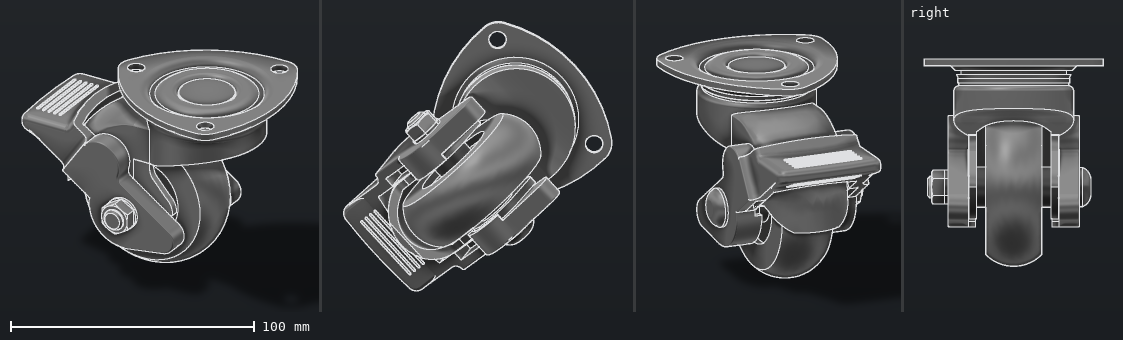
import cadquery as cq
import math


total_height = 85.0
wheel_radius = 32.5
axle_x = -24.0
axle_z = wheel_radius

plate_thickness = 2.8
plate_mid_side = 33.0
plate_corner_reach = 32.55
plate_corner_radius = 8.57
plate_hole_reach = 33.9
plate_hole_diameter = 7.1
bowl_bottom_z = 80.2

head_radius = 24.6
head_shoulder_z = 72.0
head_top_z = 78.7
head_end_z = 64.7

hood_radius = 39.3
hood_half_width = 18.5
leg_outer_y = 18.3
leg_inner_y = 15.2
leg_top_z = 53.6
leg_boss_radius = 13.0
tail_z = 30.0

wheel_half_width = 11.5
wheel_face_radius = 27.7
wheel_recess_radius = 17.1
wheel_recess_depth = 3.0
wheel_hub_radius = 8.3

pedal_tilt = 34.8
pedal_outer_y = 27.0
pedal_inner_y = 18.6
pedal_half_width = 23.1
pedal_arm_height = 18.9
pedal_edge_radius = 0.7
cam_radius = 16.4
cam_lip_y = 15.6
cam_lip_inner_radius = 14.0
pad_top_z = 62.1
pad_tip_height = 4.75
pad_edge_radius = 2.8
pad_lower_radius = 1.6
crest_foot_radius = 2.0
pad_tip_x = -77.18
pad_slope = 23.6
rib_count = 5
rib_pitch = 2.67
rib_first_x = -72.1
rib_length = 30.2
rib_width = 1.0
rib_height = 0.35

bolt_radius = 4.5
bolt_head_radius = 8.1
bolt_head_height = 4.65
bolt_end_y = -35.35
nut_flange_radius = 7.0
nut_flange_thickness = 1.3
nut_across_flats = 12.15
nut_height = 6.6


def axle_cylinder(radius, y_from, y_to):
    """Cylinder on the wheel axle between two Y positions."""
    base = cq.Workplane("XZ", origin=(axle_x, y_from, axle_z))
    return base.circle(radius).extrude(y_from - y_to)


def axle_revolve(profile):
    """Turn a (radius, Y) profile, drawn on the plane through the axle, about the axle."""
    return profile.revolve(360, (0, 0, 0), (0, 1, 0))


def axle_plane():
    return cq.Workplane("XY", origin=(axle_x, 0, axle_z))


def side_slab(profile, half_width):
    """Extrude an XZ profile to both sides of Y = 0."""
    return profile.extrude(half_width, both=True)


def make_plate():
    corner_x = plate_corner_reach * math.cos(math.radians(60))
    corner_y = plate_corner_reach * math.sin(math.radians(60))
    reach = plate_mid_side - plate_corner_radius
    side_centre = (corner_x**2 + corner_y**2 - reach**2) / (2 * (reach - corner_x))
    half_sweep = math.degrees(math.atan2(corner_y, corner_x + side_centre))

    def corner_point(corner_angle, edge_angle):
        a = math.radians(corner_angle)
        b = math.radians(edge_angle)
        return (plate_corner_reach * math.cos(a) + plate_corner_radius * math.cos(b),
                plate_corner_reach * math.sin(a) + plate_corner_radius * math.sin(b))

    def side_middle(angle):
        a = math.radians(angle)
        return (plate_mid_side * math.cos(a), plate_mid_side * math.sin(a))

    outline = cq.Workplane("XY", origin=(0, 0, total_height - plate_thickness))
    outline = outline.moveTo(*corner_point(-60, -half_sweep))
    for side_angle in (0, 120, 240):
        corner = side_angle + 60
        outline = outline.threePointArc(side_middle(side_angle),
                                        corner_point(corner, side_angle + half_sweep))
        outline = outline.threePointArc(corner_point(corner, corner),
                                        corner_point(corner, side_angle + 120 - half_sweep))
    plate = outline.close().extrude(plate_thickness)

    bowl_outer = 26.0
    bowl_lower = 24.0
    neck_radius = 21.7
    underside = (
        cq.Workplane("XZ")
        .moveTo(0, head_top_z)
        .lineTo(neck_radius, head_top_z)
        .lineTo(neck_radius, bowl_bottom_z)
        .lineTo(bowl_lower, bowl_bottom_z)
        .lineTo(bowl_outer, total_height - plate_thickness)
        .lineTo(0, total_height - plate_thickness)
        .close()
        .revolve(360, (0, 0, 0), (0, 1, 0))
    )
    plate = plate.union(underside)

    floor_z = bowl_bottom_z + 2.0
    ring_z = total_height - 0.8
    button_z = floor_z + 0.8
    button_radius = 11.6
    groove_radius = 11.9
    pressing = (
        cq.Workplane("XZ")
        .moveTo(0, button_z)
        .lineTo(button_radius, button_z)
        .lineTo(button_radius, floor_z)
        .lineTo(groove_radius, floor_z)
        .threePointArc((12.9, ring_z - 0.5), (14.9, ring_z))
        .lineTo(17.1, ring_z)
        .threePointArc((19.8, ring_z - 0.7), (21.3, floor_z))
        .lineTo(23.5, floor_z)
        .threePointArc((25.2, total_height - 0.8), (27.6, total_height))
        .lineTo(0, total_height)
        .close()
        .revolve(360, (0, 0, 0), (0, 1, 0))
    )
    plate = plate.cut(pressing)

    holes = (
        cq.Workplane("XY", origin=(0, 0, total_height - plate_thickness))
        .polarArray(plate_hole_reach, 60, 360, 3)
        .circle(plate_hole_diameter / 2)
        .extrude(plate_thickness)
    )
    return plate.cut(holes)


def make_swivel_head():
    """Turned head with seal ring, cut below by the sweeping underside."""
    neck = 22.6
    seal = 23.0
    head = (
        cq.Workplane("XZ")
        .moveTo(0, leg_top_z - 1)
        .lineTo(head_radius, leg_top_z - 1)
        .lineTo(head_radius, head_shoulder_z)
        .threePointArc((24.1, 73.2), (neck, 74.1))
        .lineTo(neck, 75.2)
        .lineTo(seal, 75.2)
        .lineTo(seal, 77.0)
        .lineTo(seal - 0.2, 77.0)
        .lineTo(seal + 0.5, head_top_z)
        .lineTo(0, head_top_z)
        .close()
        .revolve(360, (0, 0, 0), (0, 1, 0))
    )
    sweep = (
        cq.Workplane("XZ")
        .moveTo(head_radius + 1, head_end_z)
        .lineTo(head_radius, head_end_z)
        .threePointArc((9.0, 62.4), (-3.0, 58.9))
        .lineTo(-16.2, leg_top_z)
        .lineTo(-head_radius - 1, leg_top_z)
        .lineTo(-head_radius - 1, leg_top_z - 5)
        .lineTo(head_radius + 1, leg_top_z - 5)
        .close()
    )
    return head.cut(side_slab(sweep, 2 * head_radius))


def hood_section(plane, base, shoulder):
    """Straight sides up to the shoulder, half an ellipse across the top; heights run from the axle."""
    return (
        cq.Workplane(plane)
        .moveTo(-hood_half_width, base)
        .lineTo(hood_half_width, base)
        .lineTo(hood_half_width, shoulder)
        .ellipseArc(hood_half_width, hood_radius - shoulder, 0, 180, startAtCurrent=True)
        .close()
    )


def make_hood():
    hood_base = 12.0
    shoulders = {90: 36.0, 120: 32.0, 150: 27.0, 185: 22.0}
    sections = []
    for angle, shoulder in shoulders.items():
        a = math.radians(angle)
        plane = cq.Plane(origin=(axle_x, 0, axle_z), xDir=(0, 1, 0),
                         normal=(math.sin(a), 0, -math.cos(a)))
        sections.append(hood_section(plane, hood_base, shoulder).val())
    hood = cq.Workplane(cq.Solid.makeLoft(sections))

    bridge_length = 9.0
    bridge_plane = cq.Plane(origin=(axle_x, 0, axle_z), xDir=(0, 1, 0), normal=(1, 0, 0))
    bridge = hood_section(bridge_plane, leg_top_z - axle_z, shoulders[90]).extrude(bridge_length)
    hood = hood.union(bridge)

    trim = (
        cq.Workplane("XZ")
        .moveTo(-70, tail_z)
        .lineTo(-60.5, tail_z)
        .lineTo(-51.5, 38.1)
        .threePointArc((-49.4, 39.1), (-45.0, 37.9))
        .lineTo(axle_x - leg_boss_radius, 35.5)
        .lineTo(axle_x - leg_boss_radius, 0)
        .lineTo(-70, 0)
        .close()
    )
    return hood.cut(side_slab(trim, hood_half_width))


def make_legs():
    leg = (
        cq.Workplane("XZ")
        .moveTo(-16.2, leg_top_z)
        .threePointArc((-16.3, 50.2), (-15.2, 47.2))
        .lineTo(-8.6, 39.7)
        .threePointArc((-6.0, 36.2), (-5.4, axle_z))
        .lineTo(axle_x + leg_boss_radius * math.cos(math.radians(-40)),
                axle_z + leg_boss_radius * math.sin(math.radians(-40)))
        .threePointArc((axle_x, axle_z - leg_boss_radius), (axle_x - leg_boss_radius, axle_z))
        .lineTo(axle_x - leg_boss_radius, leg_top_z)
        .close()
    )
    return side_slab(leg, leg_outer_y)


def wheel_tunnel():
    """Space for the wheel inside the fork, turned about the axle."""
    crown = 35.8
    edge_y = 13.0
    edge_radius = 29.0
    shoulder_radius = 25.5
    profile = (
        axle_plane()
        .moveTo(0, -leg_inner_y)
        .lineTo(shoulder_radius, -leg_inner_y)
        .lineTo(edge_radius, -edge_y)
        .threePointArc((crown, 0), (edge_radius, edge_y))
        .lineTo(shoulder_radius, leg_inner_y)
        .lineTo(0, leg_inner_y)
        .close()
    )
    return axle_revolve(profile)


def make_fork():
    fork = make_swivel_head().union(make_hood()).union(make_legs())
    fork = fork.cut(wheel_tunnel())
    return fork.cut(axle_cylinder(bolt_radius, -pedal_outer_y, pedal_outer_y))


def make_wheel():
    profile = (
        axle_plane()
        .moveTo(bolt_radius, -leg_inner_y)
        .lineTo(wheel_hub_radius, -leg_inner_y)
        .lineTo(wheel_hub_radius, -wheel_half_width + wheel_recess_depth)
        .lineTo(wheel_recess_radius, -wheel_half_width + wheel_recess_depth)
        .lineTo(wheel_recess_radius, -wheel_half_width)
        .lineTo(wheel_face_radius, -wheel_half_width)
        .threePointArc((wheel_radius, 0), (wheel_face_radius, wheel_half_width))
        .lineTo(wheel_recess_radius, wheel_half_width)
        .lineTo(wheel_recess_radius, wheel_half_width - wheel_recess_depth)
        .lineTo(wheel_hub_radius, wheel_half_width - wheel_recess_depth)
        .lineTo(wheel_hub_radius, leg_inner_y)
        .lineTo(bolt_radius, leg_inner_y)
        .close()
    )
    return axle_revolve(profile)


tilt_cos = math.cos(math.radians(pedal_tilt))
tilt_sin = math.sin(math.radians(pedal_tilt))
axle_u = 13.66
axle_w = 7.18
cam_corner_u = axle_u - math.sqrt(cam_radius**2 - axle_w**2)
frame_origin = (axle_x - axle_u * tilt_cos - axle_w * tilt_sin,
                0,
                axle_z + axle_u * tilt_sin - axle_w * tilt_cos)
side_frame = cq.Plane(origin=frame_origin, xDir=(tilt_cos, 0, -tilt_sin), normal=(0, -1, 0))
plan_frame = cq.Plane(origin=frame_origin, xDir=(tilt_cos, 0, -tilt_sin),
                      normal=(tilt_sin, 0, tilt_cos))

crest_front_u = -30.6
crest_back_u = -26.6
crest_bend_radius = 65.0
flare_start_u = -20.4
flare_end_u = -17.0
lug_u = -7.0
lug_w = 16.6
lug_radius = 9.9
toe_u = 33.15
toe_w = 11.15
toe_radius = 6.05
toe_top_w = toe_w + toe_radius
lug_end_u = lug_u + math.sqrt(lug_radius**2 - (toe_top_w - lug_w)**2)
lug_notch_radius = 3.0


def tilted(u, w):
    """X and Z of a point given in the tilted frame."""
    return (frame_origin[0] + u * tilt_cos + w * tilt_sin,
            frame_origin[2] - u * tilt_sin + w * tilt_cos)


def tilted_around(centre_u, centre_w, radius, angle):
    return tilted(centre_u + radius * math.cos(angle), centre_w + radius * math.sin(angle))


def make_side_profile():
    """Side outline: foot pad, crest, lug, toe and cam."""
    lug_start_u = lug_u - math.sqrt(lug_radius**2 - (pedal_arm_height - lug_w)**2)

    gap_u = toe_u - axle_u
    gap_w = toe_w - axle_w
    tangent = (math.atan2(gap_w, gap_u)
               - math.acos((cam_radius - toe_radius) / math.hypot(gap_u, gap_w)))
    cam_start = -math.pi + math.asin(axle_w / cam_radius)
    cam_middle = (cam_start + tangent) / 2

    drop = math.tan(math.radians(pad_slope))
    fall = math.tan(math.radians(pedal_tilt))
    tip_low_z = pad_top_z - pad_tip_height
    arm_z = frame_origin[2] - (pad_tip_x - frame_origin[0]) * fall
    bend_x = pad_tip_x + (arm_z - tip_low_z) / (fall - drop)
    bend_z = tip_low_z - (bend_x - pad_tip_x) * drop

    crest_foot_w = (pad_top_z - frame_origin[2] + crest_front_u * tilt_sin) / tilt_cos

    return (
        cq.Workplane("XZ")
        .moveTo(pad_tip_x, pad_top_z)
        .lineTo(pad_tip_x, tip_low_z)
        .lineTo(bend_x, bend_z)
        .lineTo(*tilted(cam_corner_u, 0))
        .threePointArc(tilted_around(axle_u, axle_w, cam_radius, cam_middle),
                       tilted_around(axle_u, axle_w, cam_radius, tangent))
        .lineTo(*tilted_around(toe_u, toe_w, toe_radius, tangent))
        .threePointArc(tilted(toe_u + toe_radius, toe_w), tilted(toe_u, toe_top_w))
        .lineTo(*tilted(lug_end_u, toe_top_w))
        .threePointArc(tilted(lug_u, lug_w + lug_radius), tilted(lug_start_u, pedal_arm_height))
        .lineTo(*tilted(crest_front_u, pedal_arm_height))
        .lineTo(*tilted(crest_front_u, crest_foot_w))
        .close()
    )


def pad_tip_trim():
    """Material outside the bowed tip of the pad and its rounded corners."""
    bow = 1.2
    corner_radius = 4.0
    back_x = -68.0
    front_x = pad_tip_x - pad_edge_radius
    plan = (
        cq.Workplane("XY")
        .moveTo(back_x, -pedal_half_width)
        .lineTo(pad_tip_x + bow, -pedal_half_width)
        .threePointArc((pad_tip_x, 0), (pad_tip_x + bow, pedal_half_width))
        .lineTo(back_x, pedal_half_width)
        .close()
        .extrude(total_height)
        .edges("|Z").edges("<X")
        .fillet(corner_radius)
    )
    around = cq.Workplane("XY", origin=((front_x + back_x) / 2, 0, 0))
    around = around.rect(back_x - front_x, 2 * pedal_outer_y).extrude(total_height)
    return around.cut(plan)


def bowed_region(apex_u, far_u):
    """Plan region behind or in front of an arc that bows towards the tip."""
    half = pedal_outer_y + 1
    end_u = apex_u + crest_bend_radius - math.sqrt(crest_bend_radius**2 - half**2)
    return (
        cq.Workplane(plan_frame)
        .moveTo(far_u, -half)
        .lineTo(end_u, -half)
        .threePointArc((apex_u, 0), (end_u, half))
        .lineTo(far_u, half)
        .close()
    )


def make_ribs():
    """Grip ribs across the top and the underside of the pad."""
    middle_x = rib_first_x + (rib_count - 1) / 2 * rib_pitch
    slope = math.radians(pad_slope)
    under_middle_z = pad_top_z - pad_tip_height - (middle_x - pad_tip_x) * math.tan(slope)
    faces = [
        cq.Plane(origin=(middle_x, 0, pad_top_z), xDir=(0, 1, 0), normal=(0, 0, 1)),
        cq.Plane(origin=(middle_x, 0, under_middle_z), xDir=(0, 1, 0),
                 normal=(-math.sin(slope), 0, -math.cos(slope))),
    ]
    ribs = []
    for face in faces:
        row = (
            cq.Workplane(face)
            .workplane(offset=-rib_height)
            .rarray(1, rib_pitch, 1, rib_count)
            .slot2D(rib_length, rib_width)
            .extrude(2 * rib_height)
        )
        ribs.extend(row.solids().vals())
    return ribs


def tilted_box(u_range, w_range, y_range):
    """Box square to the tilted frame, between two limits in each direction."""
    outline = cq.Workplane(side_frame).workplane(offset=-y_range[1])
    outline = outline.moveTo(u_range[0], w_range[0])
    outline = outline.lineTo(u_range[1], w_range[0])
    outline = outline.lineTo(u_range[1], w_range[1])
    outline = outline.lineTo(u_range[0], w_range[1])
    return outline.close().extrude(y_range[1] - y_range[0])


def pad_top_edges(body):
    """Edges around the level top of the pad."""
    top = cq.selectors.BoxSelector((2 * pad_tip_x, -pedal_outer_y, pad_top_z - 0.1),
                                   (axle_x, pedal_outer_y, pad_top_z + 0.1))
    return body.faces(top).edges().vals()


def round_pad(body):
    """Round the lower tip, the foot of the crest and then the rim of the pad."""
    tip_x = pad_tip_x + 5.0
    tip_low_z = pad_top_z - pad_tip_height
    lower = [e for e in body.edges().vals()
             if e.Center().x < tip_x and e.Center().z < tip_low_z + 1 and e.geomType() != "LINE"]
    body = body.newObject(lower).fillet(pad_lower_radius)

    def on_crest(edge):
        return edge.Center().x > tip_x and abs(edge.Center().y) < pedal_inner_y

    foot = [e for e in pad_top_edges(body) if on_crest(e)]
    body = body.newObject(foot).fillet(crest_foot_radius)
    rim = [e for e in pad_top_edges(body) if not on_crest(e)]
    return body.newObject(rim).fillet(pad_edge_radius)


def make_body():
    """Pad, crest and both arms, narrowed to the pad width ahead of the flares."""
    body = side_slab(make_side_profile(), pedal_outer_y)
    notch_x, notch_z = tilted(lug_end_u, toe_top_w)
    body = body.edges(cq.selectors.NearestToPointSelector((notch_x, 0, notch_z)))
    body = body.fillet(lug_notch_radius)
    body = body.faces("<Y or >Y").edges().fillet(pedal_edge_radius)

    depth = 3 * pedal_arm_height
    front_u = crest_front_u - crest_bend_radius
    half_turn = math.sqrt(0.5)
    flare_end_y = pedal_outer_y - pedal_edge_radius
    flare_mid_u = flare_start_u + (flare_end_u - flare_start_u) * half_turn
    flare_mid_y = flare_end_y - (flare_end_y - pedal_half_width) * half_turn
    rim_end_u = flare_end_u + pedal_edge_radius
    rim_mid_u = rim_end_u - pedal_edge_radius * half_turn
    rim_mid_y = flare_end_y + pedal_edge_radius * half_turn
    for side in (-1, 1):
        step = (
            cq.Workplane(plan_frame)
            .moveTo(front_u, side * pedal_half_width)
            .lineTo(flare_start_u, side * pedal_half_width)
            .threePointArc((flare_mid_u, side * flare_mid_y), (flare_end_u, side * flare_end_y))
            .threePointArc((rim_mid_u, side * rim_mid_y), (rim_end_u, side * pedal_outer_y))
            .lineTo(rim_end_u, side * 2 * pedal_outer_y)
            .lineTo(front_u, side * 2 * pedal_outer_y)
            .close()
            .extrude(depth, both=True)
        )
        body = body.cut(step)

    front = bowed_region(crest_front_u, front_u).extrude(depth, both=True)
    above_pad = cq.Workplane("XY", origin=(axle_x, 0, pad_top_z))
    above_pad = above_pad.rect(8 * wheel_radius, 4 * pedal_outer_y).extrude(total_height)
    body = body.cut(front.intersect(above_pad))
    return round_pad(body.cut(pad_tip_trim()))


def cam_lip_zone():
    """Space in front of the fork legs where each cam keeps a lip reaching inwards."""
    zone = axle_cylinder(wheel_radius, -pedal_outer_y, pedal_outer_y)
    zone = zone.cut(axle_cylinder(cam_lip_inner_radius, -pedal_outer_y, pedal_outer_y))
    zone = zone.cut(axle_cylinder(wheel_radius, -cam_lip_y, cam_lip_y))
    quarter = (
        cq.Workplane("XZ")
        .moveTo(axle_x, axle_z)
        .lineTo(axle_x, -wheel_radius)
        .lineTo(axle_x - 2 * wheel_radius, -wheel_radius)
        .lineTo(axle_x - 2 * wheel_radius, axle_z)
        .close()
    )
    return zone.intersect(side_slab(quarter, pedal_outer_y))


def arm_opening():
    """Space between the arms, closed towards the tip by a bowed wall behind the crest."""
    depth = 3 * pedal_arm_height
    opening = bowed_region(crest_back_u, toe_u + 2 * toe_radius).extrude(depth, both=True)
    lane = cq.Workplane("XY", origin=(axle_x, 0, 0))
    lane = lane.box(6 * wheel_radius, 2 * pedal_inner_y, 4 * total_height)
    return opening.intersect(lane).cut(cam_lip_zone())


def make_pedal():
    pedal = make_body().cut(arm_opening())

    pocket_length = 13.0
    pocket_depth = 9.0
    for y_range in ((-22.9, -18.9), (18.9, 22.9)):
        pedal = pedal.cut(tilted_box((cam_corner_u - pocket_length, cam_corner_u),
                                     (-1, pocket_depth), y_range))

    pedal = pedal.cut(axle_cylinder(bolt_radius, -pedal_outer_y, pedal_outer_y))
    for rib in make_ribs():
        pedal = pedal.union(cq.Workplane(rib))
    return pedal


def make_bolt():
    head_rim = 1.2
    head_flat_radius = 3.5
    end_chamfer = 1.0
    head_top = pedal_outer_y + bolt_head_height
    profile = (
        axle_plane()
        .moveTo(0, bolt_end_y)
        .lineTo(bolt_radius - end_chamfer, bolt_end_y)
        .lineTo(bolt_radius, bolt_end_y + end_chamfer)
        .lineTo(bolt_radius, pedal_outer_y)
        .lineTo(bolt_head_radius, pedal_outer_y)
        .lineTo(bolt_head_radius, pedal_outer_y + head_rim)
        .threePointArc((6.3, head_top - 1.1), (head_flat_radius, head_top))
        .lineTo(0, head_top)
        .close()
    )
    return axle_revolve(profile)


def make_nut():
    corner_radius = nut_across_flats / math.sqrt(3)
    seat_y = -pedal_outer_y
    flange = axle_cylinder(nut_flange_radius, seat_y, seat_y - nut_flange_thickness)
    hexagon = (
        cq.Workplane("XZ", origin=(axle_x, seat_y, axle_z))
        .transformed(rotate=(0, 0, 90))
        .polygon(6, 2 * corner_radius)
        .extrude(nut_height)
    )
    crown = axle_cylinder(corner_radius, seat_y, seat_y - nut_height).faces("<Y").chamfer(0.5, 0.9)
    nut = flange.union(hexagon.intersect(crown))
    return nut.cut(axle_cylinder(bolt_radius, seat_y - nut_height, seat_y))


plate = make_plate()
fork = make_fork()
wheel = make_wheel()
pedal = make_pedal()
bolt = make_bolt()
nut = make_nut()

result = cq.Compound.makeCompound([
    plate.solids().val(),
    fork.solids().val(),
    wheel.solids().val(),
    pedal.solids().val(),
    bolt.solids().val(),
    nut.solids().val(),
])